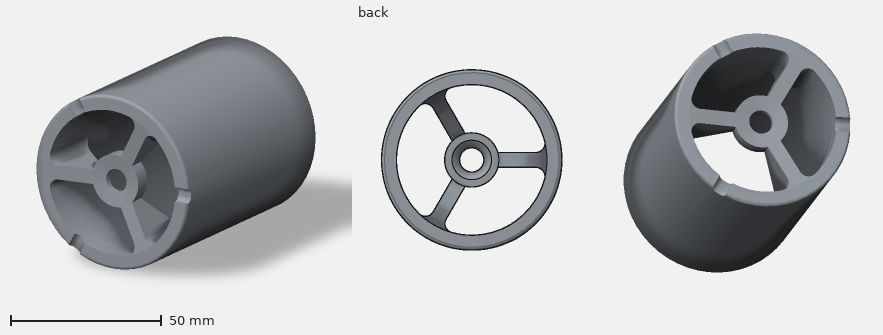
import cadquery as cq
import math

length = 80.0
outer_radius = 30.0
bore_radius = 25.0
rim_round = 1.0
front = -length / 2

arm_count = 3
spoke_width = 5.0
spoke_round = 3.0
hub_radius = 9.0
hole_radius = 4.0
dish_depth = 3.0
dish_slope = dish_depth / (bore_radius - hole_radius)
hub_thickness = 5.5
back_angle = 45.0
hole_land = 2.0
countersink_radius = 6.6

notch_width = 5.0
notch_depth = 2.0
notch_round = 1.96

front_plane = cq.Plane(origin=(0, front, 0), xDir=(1, 0, 0), normal=(0, -1, 0))


def turned_copies(shape, first_angle):
    """Copies of a shape that lies along +X, spaced evenly around the Y axis."""
    copies = cq.Workplane()
    for i in range(arm_count):
        angle = first_angle + i * 360 / arm_count
        copies = copies.add(shape.rotate((0, 0, 0), (0, 1, 0), angle))
    return copies.combine()


def make_tube():
    tube = cq.Workplane(front_plane).circle(outer_radius).extrude(-length)
    tube = tube.faces("<Y or >Y").edges().fillet(rim_round)
    bore = cq.Workplane(front_plane).circle(bore_radius).extrude(-length)
    return tube.cut(bore)


def make_web_envelope():
    """Solid of revolution that bounds the web between its front and back cones."""
    hub_front = front + dish_slope * (bore_radius - hub_radius)
    hub_back = hub_front + hub_thickness
    wall_back = hub_back + (bore_radius - hub_radius) * math.tan(math.radians(back_angle))
    overlap = (outer_radius - bore_radius) / 2
    outside = bore_radius + overlap
    profile = [
        (hole_radius, front + dish_depth),
        (bore_radius, front),
        (outside, front),
        (outside, wall_back),
        (bore_radius, wall_back),
        (hub_radius, hub_back),
        (countersink_radius, hub_back),
        (hole_radius, front + dish_depth + hole_land),
    ]
    return cq.Workplane("XY").polyline(profile).close().revolve(360, (0, 0, 0), (0, 1, 0))


def make_web():
    """Spokes with rounded roots at the bore, trimmed to the web envelope."""
    span = (outer_radius + bore_radius) / 2
    spoke = cq.Workplane(front_plane).center(span / 2, 0).rect(span, spoke_width).extrude(-length)
    ring = cq.Workplane(front_plane).circle(outer_radius).circle(bore_radius).extrude(-length)
    web = ring.union(turned_copies(spoke, 180 / arm_count))
    roots = cq.selectors.BoxSelector((-bore_radius, -0.8, -bore_radius), (bore_radius, 0.8, bore_radius))
    inner = cq.selectors.BoxSelector((-hub_radius, -0.8, -hub_radius), (hub_radius, 0.8, hub_radius))
    web = web.edges("|Y").edges(roots - inner).fillet(spoke_round)
    hub = cq.Workplane(front_plane).circle(hub_radius).extrude(-length)
    return web.union(hub).intersect(make_web_envelope())


def make_notches():
    """Cutters with a flat floor and round sides."""
    cutter_length = 4 * (outer_radius - bore_radius)
    cutter = (
        cq.Workplane(front_plane)
        .center(outer_radius, 0)
        .rect(cutter_length, notch_width)
        .extrude(-notch_depth)
        .faces(">Y")
        .edges("|X")
        .fillet(notch_round)
    )
    return turned_copies(cutter, 0)


result = make_tube().union(make_web()).cut(make_notches())